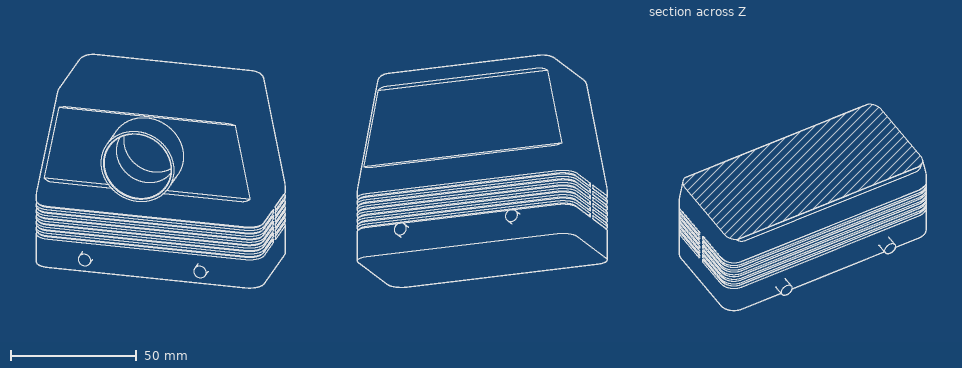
import cadquery as cq
import math

body_length = 93.5
body_depth = 43.4
body_height = 76.0
shoulder_height = 29.5
top_length = 75.2
shoulder_blend = 6.7
corner_radius = 6.1
top_radius = 2.6
front_face = -body_depth / 2

recess_depth = 1.0
recess_bottom = 36.9
recess_top = 69.9

groove_count = 6
groove_pitch = 2.5
lowest_groove = 12.9
groove_depth = 0.73
bridge_width = 2.8

pin_diameter = 5.05
pin_spacing = 47.5
pin_height = 7.7
pin_span = 56.3
pin_root_radius = 1.5

collar_diameter = 30.0
collar_height = 53.3
collar_reach = 35.3
bore_diameter = 27.5
mouth_chamfer = 0.3
bore_depth = 11.2
throat_diameter = 24.8
bore_end_length = 2.5
throat_depth = 11.2

overlap = 0.9


def make_hood():
    """Tapered block with blended shoulders, round corners and a round top rim."""
    half_length = body_length / 2
    half_top = top_length / 2
    hood = (
        cq.Workplane("XZ")
        .moveTo(-half_length, 0)
        .lineTo(half_length, 0)
        .lineTo(half_length, shoulder_height)
        .lineTo(half_top, body_height)
        .lineTo(-half_top, body_height)
        .lineTo(-half_length, shoulder_height)
        .close()
        .extrude(body_depth / 2, both=True)
    )
    shoulders = cq.selectors.BoxSelector(
        (-body_length, -body_depth, shoulder_height - overlap),
        (body_length, body_depth, shoulder_height + overlap),
    )
    hood = hood.edges("|Y").edges(shoulders).fillet(shoulder_blend)
    side_edges = hood.faces("<Y or >Y").edges("not |X")
    hood = side_edges.fillet(corner_radius)
    return hood.faces(">Z").edges().fillet(top_radius)


def make_face_recesses():
    """Bars that sink the front and back faces between two sloped shoulders."""
    front = (
        cq.Workplane("YZ")
        .moveTo(front_face + recess_depth, recess_bottom + recess_depth)
        .lineTo(front_face + recess_depth, recess_top - recess_depth)
        .lineTo(front_face - overlap, recess_top + overlap)
        .lineTo(front_face - overlap, recess_bottom - overlap)
        .close()
        .extrude(body_length, both=True)
    )
    return front.union(front.mirror("XZ"))


def rounded_outline(height, margin=0.0):
    """Plan outline of the lower body, grown by a margin."""
    outline = cq.Sketch().rect(body_length + 2 * margin, body_depth + 2 * margin)
    outline = outline.vertices().fillet(corner_radius + margin)
    return cq.Workplane("XY").workplane(offset=height).placeSketch(outline)


def make_groove(height):
    """V-shaped ring centred at the given height, absent at the end bridges."""
    lower_cone = rounded_outline(height - groove_depth).extrude(groove_depth, taper=45)
    upper_cone = lower_cone.mirror("XY", (0, 0, height))
    slab = rounded_outline(height - groove_depth, overlap).extrude(2 * groove_depth)
    bridge = cq.Workplane("XY").box(2 * body_length, bridge_width, 2 * body_height)
    return slab.cut(lower_cone).cut(upper_cone).cut(bridge)


def make_pin(x):
    """Pin passing through the body, flared by a concave fillet at both faces."""
    radius = pin_diameter / 2
    flare = radius + pin_root_radius
    face = body_depth / 2
    arc_offset = pin_root_radius * math.sqrt(0.5)
    half = (
        cq.Workplane("XY")
        .lineTo(flare, 0)
        .lineTo(flare, face)
        .threePointArc(
            (flare - arc_offset, face + pin_root_radius - arc_offset),
            (radius, face + pin_root_radius),
        )
        .lineTo(radius, pin_span / 2)
        .lineTo(0, pin_span / 2)
        .close()
        .revolve(360, (0, 0), (0, 1))
    )
    return half.union(half.mirror("XZ")).translate((x, 0, pin_height))


def make_collar():
    """Solid cylinder from the collar mouth to just inside the recessed front face."""
    root = front_face + recess_depth + overlap
    return (
        cq.Workplane("XZ", origin=(0, root, collar_height))
        .circle(collar_diameter / 2)
        .extrude(collar_reach + root)
    )


def make_collar_bore():
    """Bore with a chamfered mouth, curving in at its inner end to a narrower blind throat."""
    bore_radius = bore_diameter / 2
    throat_radius = throat_diameter / 2
    throat_start = bore_depth + bore_end_length
    profile = (
        cq.Workplane("XY")
        .lineTo(bore_radius + mouth_chamfer, 0)
        .lineTo(bore_radius, mouth_chamfer)
        .lineTo(bore_radius, bore_depth)
        .tangentArcPoint((throat_radius, throat_start), relative=False)
        .lineTo(throat_radius, throat_start + throat_depth)
        .lineTo(0, throat_start + throat_depth)
        .close()
    )
    bore = profile.revolve(360, (0, 0), (0, 1))
    return bore.translate((0, -collar_reach, collar_height))


result = make_hood().cut(make_face_recesses())
for index in range(groove_count):
    result = result.cut(make_groove(lowest_groove + index * groove_pitch))
for side in (-1, 1):
    result = result.union(make_pin(side * pin_spacing / 2))
result = result.union(make_collar())
result = result.cut(make_collar_bore())